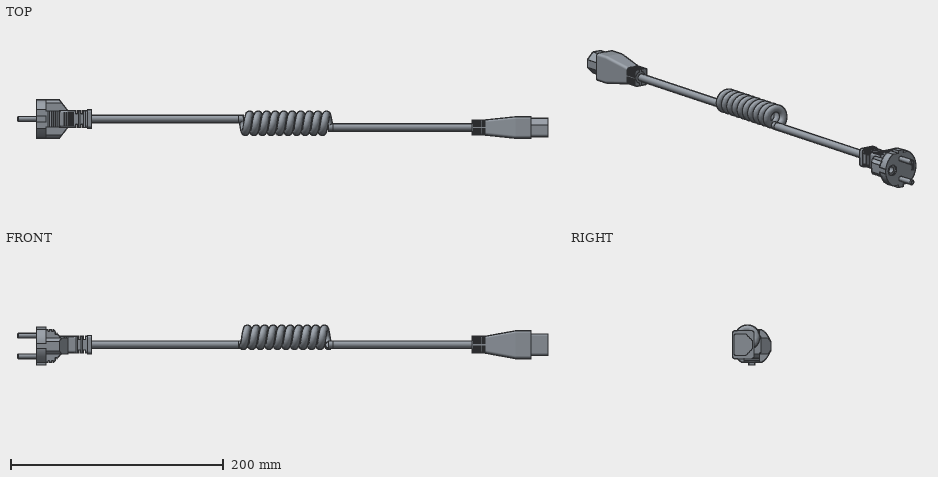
import math

import cadquery as cq

total_length = 498.5
plug_face_x = 18.0
plug_rear_x = 70.0
coil_start_x = 208.0
coil_end_x = 296.5
connector_rear_x = 427.5

cable_radius = 3.6
coil_axis_drop = 7.0
coil_axis_shift = 4.0
coil_turns = 10
coil_inset = cable_radius
coil_stub_length = 4.5
plug_axis_y = 0.0
coil_axis_y = plug_axis_y - coil_axis_shift
connector_axis_y = coil_axis_y - coil_axis_shift

plug_axis_z = -1.25
pin_radius = 2.4
pin_offset = 9.7
pin_chamfer = 1.0
disc_radius = 18.0
disc_height = 31.0
disc_end_x = 27.0
earth_tab_width = 6.0
earth_tab_reach = 18.0
side_rib_width = 4.5
side_rib_reach = 18.2
earth_hole_offset = 10.0
earth_hole_radius = 3.0
earth_hole_depth = 8.0
earth_recess_radius = 5.0
earth_recess_depth = 2.0
face_notch_offset = 14.5
face_notch_width, face_notch_height = 2.5, 7.0
face_notch_depth = 1.5
wing_height = 15.0
wing_chamfer = 3.0
shoulder_x = 39.5
neck_start_x = 47.5
neck_size = 16.0
neck_fillet = 2.5
spine_width = 15.0
spine_slope_x = 34.0
spine_end_x = 44.5
spine_end_height = 8.0
grip_groove_start_x = 29.5
grip_groove_width = 1.25
grip_groove_depth = 1.5
grip_groove_pitch = 3.5
grip_groove_count = 3
neck_groove_start_x = 44.5
neck_groove_end_x = 52.5
neck_groove_count = 5
neck_groove_length = 12.0
neck_groove_width = 0.75
neck_groove_depth = 0.5

relief_start_x = 55.0
flange_size = 17.5
flange_thickness = 4.0
slot_width = 1.5
slot_pitch = 2.5
slot_depth = 3.0
slot_count = 4

connector_taper_x = 439.5
connector_block_x = 468.0
connector_nose_x = 482.5
block_width, block_height = 20.5, 26.5
taper_width, taper_height = 14.5, 16.0
connector_fillet = 2.5
nose_width, nose_height = 17.5, 20.5
nose_key_chamfer = 6.5
nose_edge_fillet = 2.25
boot_core_radius = 5.5
boot_ring_thickness = 1.0
boot_ring_count = 6
boot_rib_width = 2.0


def plane_at(x, y=0.0, z=0.0):
    """Plane facing +X whose local x is -Y and local y is -Z."""
    return cq.Workplane(cq.Plane(origin=(x, y, z), xDir=(0, -1, 0), normal=(1, 0, 0)))


def cylinder_x(start_x, end_x, y, z, radius):
    return plane_at(start_x, y, z).circle(radius).extrude(end_x - start_x)


def block_x(start_x, end_x, y, z, width, height):
    return plane_at(start_x, y, z).rect(width, height).extrude(end_x - start_x)



def plug_disc():
    """Round face plate with flats, raised earth contacts above and below, and a rib on each side."""
    span = (plug_face_x, disc_end_x, plug_axis_y, plug_axis_z)
    disc = cylinder_x(*span, disc_radius)
    disc = disc.intersect(block_x(*span, 2 * disc_radius, disc_height))
    disc = disc.union(block_x(*span, earth_tab_width, 2 * earth_tab_reach))
    return disc.union(block_x(*span, 2 * side_rib_reach, side_rib_width))


def plug_wings():
    """Flat sides of the grip, which narrow to the neck."""
    half_width = side_rib_reach
    half_neck = neck_size / 2
    wings = (
        cq.Workplane("XY", origin=(0, plug_axis_y, plug_axis_z - wing_height / 2))
        .moveTo(disc_end_x, -half_width)
        .lineTo(shoulder_x, -half_width)
        .lineTo(neck_start_x, -half_neck)
        .lineTo(neck_start_x, half_neck)
        .lineTo(shoulder_x, half_width)
        .lineTo(disc_end_x, half_width)
        .close()
        .extrude(wing_height)
    )
    return wings.edges("|X").chamfer(wing_chamfer)


def cross_groove(x, z, width, length, depth):
    """Cutter for a groove along Y in a surface at height z, on either side of the plug."""
    return cq.Workplane("XY").box(width, length, 2 * depth).translate((x, plug_axis_y, z))


def plug_spine():
    """Tall middle of the grip, sloping down at the back, with grooves across its top and bottom."""
    half_height = disc_height / 2
    half_end = spine_end_height / 2
    spine = (
        cq.Workplane("XZ", origin=(0, plug_axis_y, plug_axis_z))
        .moveTo(disc_end_x, -half_height)
        .lineTo(spine_slope_x, -half_height)
        .lineTo(spine_end_x, -half_end)
        .lineTo(spine_end_x, half_end)
        .lineTo(spine_slope_x, half_height)
        .lineTo(disc_end_x, half_height)
        .close()
        .extrude(spine_width / 2, both=True)
    )
    slope = (half_height - half_end) / (spine_end_x - spine_slope_x)
    for number in range(grip_groove_count):
        x = grip_groove_start_x + number * grip_groove_pitch
        surface_height = half_height - max(0, x - spine_slope_x) * slope
        for side in (-1, 1):
            z = plug_axis_z + side * surface_height
            spine = spine.cut(cross_groove(x, z, grip_groove_width, spine_width, grip_groove_depth))
    return spine


def rounded_neck_block(start_x, end_x, size):
    return block_x(start_x, end_x, plug_axis_y, 0, size, size).edges("|X").fillet(neck_fillet)


def plug_neck():
    """Square neck with fine grip grooves across its top and bottom."""
    neck = rounded_neck_block(shoulder_x, plug_rear_x, neck_size)
    pitch = (neck_groove_end_x - neck_groove_start_x) / (neck_groove_count - 1)
    for number in range(neck_groove_count):
        x = neck_groove_start_x + number * pitch
        for side in (-1, 1):
            z = side * neck_size / 2
            neck = neck.cut(cross_groove(x, z, neck_groove_width, neck_groove_length, neck_groove_depth))
    return neck


def cut_strain_relief_slots(neck):
    """Cut slots that alternate between top/bottom and the two sides of the neck."""
    uncut_size = neck_size - 2 * slot_depth
    for number in range(slot_count):
        start_x = relief_start_x + number * slot_pitch
        span = (start_x, start_x + slot_width, plug_axis_y, 0)
        if number % 2:
            uncut = block_x(*span, neck_size, uncut_size)
        else:
            uncut = block_x(*span, uncut_size, neck_size)
        neck = neck.cut(block_x(*span, neck_size, neck_size).cut(uncut))
    return neck


def cut_face_recesses(plug):
    """Stepped earth hole on the +Y side of the face and a shallow notch on the -Y side."""
    hole_y = plug_axis_y + earth_hole_offset
    for radius, depth in (
        (earth_hole_radius, earth_hole_depth),
        (earth_recess_radius, earth_recess_depth),
    ):
        plug = plug.cut(cylinder_x(plug_face_x, plug_face_x + depth, hole_y, plug_axis_z, radius))
    notch = block_x(
        plug_face_x,
        plug_face_x + face_notch_depth,
        plug_axis_y - face_notch_offset,
        plug_axis_z,
        face_notch_width,
        face_notch_height,
    )
    return plug.cut(notch)


def make_plug():
    neck = cut_strain_relief_slots(plug_neck())
    flange = rounded_neck_block(plug_rear_x - flange_thickness, plug_rear_x, flange_size)
    plug = plug_disc().union(plug_wings()).union(plug_spine()).union(neck).union(flange)
    plug = cut_face_recesses(plug)
    for side in (-1, 1):
        pin = cylinder_x(0, disc_end_x, plug_axis_y, plug_axis_z + side * pin_offset, pin_radius)
        plug = plug.union(pin.faces("<X").chamfer(pin_chamfer))
    return plug



def make_straight_cable(start_x, end_x, y):
    return cylinder_x(start_x, end_x, y, 0, cable_radius)


def make_coil():
    """Left-handed helix with a short straight stub along X at each end."""
    radius = math.hypot(coil_axis_shift, coil_axis_drop)
    end_angle = math.degrees(math.atan2(coil_axis_shift, coil_axis_drop))
    turns = coil_turns + 2 * end_angle / 360
    length = coil_end_x - coil_start_x - 2 * coil_inset
    path = cq.Wire.makeHelix(length / turns, length, radius, lefthand=True)
    coil = (
        cq.Workplane("XZ", origin=(radius, 0, 0))
        .circle(cable_radius)
        .sweep(cq.Workplane(obj=path), isFrenet=True)
        .rotate((0, 0, 0), (0, 0, 1), end_angle)
        .rotate((0, 0, 0), (0, 1, 0), 90)
        .translate((coil_start_x + coil_inset, coil_axis_y, coil_axis_drop))
    )
    coil = coil.union(
        cylinder_x(coil_start_x, coil_start_x + coil_stub_length, plug_axis_y, 0, cable_radius)
    )
    return coil.union(
        cylinder_x(coil_end_x - coil_stub_length, coil_end_x, connector_axis_y, 0, cable_radius)
    )



def connector_boot():
    """Strain relief: rings on a core, tied together by four ribs along X."""
    length = connector_taper_x - connector_rear_x
    boot = cylinder_x(connector_rear_x, connector_taper_x, connector_axis_y, 0, boot_core_radius)
    ring_pitch = length / boot_ring_count
    for number in range(boot_ring_count):
        ring_x = connector_rear_x + number * ring_pitch
        boot = boot.union(
            block_x(ring_x, ring_x + boot_ring_thickness, connector_axis_y, 0, taper_width, taper_height)
            .edges("|X")
            .fillet(connector_fillet)
        )
    first_ring_end = connector_rear_x + boot_ring_thickness
    for width, height in ((boot_rib_width, taper_height), (taper_width, boot_rib_width)):
        boot = boot.union(block_x(first_ring_end, connector_taper_x, connector_axis_y, 0, width, height))
    return boot


def connector_taper():
    small = cq.Sketch().rect(taper_width, taper_height).vertices().fillet(connector_fillet)
    large = cq.Sketch().rect(block_width, block_height).vertices().fillet(connector_fillet)
    large = large.moved(cq.Location(cq.Vector(0, 0, connector_block_x - connector_taper_x)))
    return plane_at(connector_taper_x, connector_axis_y).placeSketch(small, large).loft()


def connector_nose():
    """Mating end, keyed by two chamfered corners on its +Y side."""
    nose = block_x(connector_nose_x, total_length, connector_axis_y, 0, nose_width, nose_height)
    nose = nose.faces(">Y").edges("|X").chamfer(nose_key_chamfer)
    return nose.faces("<Y").edges("|X").fillet(nose_edge_fillet)


def make_connector():
    block = block_x(connector_block_x, connector_nose_x, connector_axis_y, 0, block_width, block_height)
    block = block.edges("|X").fillet(connector_fillet)
    return connector_boot().union(connector_taper()).union(block).union(connector_nose())


plug = make_plug()
coil = make_coil()
connector = make_connector()
straight_cables = [
    make_straight_cable(plug_rear_x, coil_start_x, plug_axis_y),
    make_straight_cable(coil_end_x, connector_rear_x, connector_axis_y),
]

result = cq.Compound.makeCompound(
    [plug.val(), coil.val(), connector.val(), *[cable.val() for cable in straight_cables]]
)